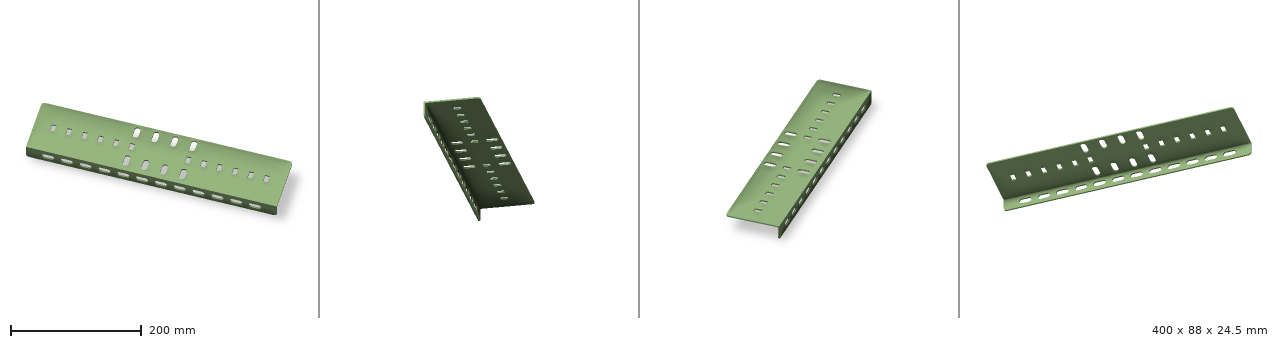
import cadquery as cq

length = 400.0
width = 88.0
height = 24.5

thickness = 2.5
inner_bend_radius = 1.0
corner_radius = 5.0

slot_length = 20.0
slot_width = 9.0
slot_pitch = 30.0
plate_slot_columns = 4
plate_slot_row_spacing = 55.0
flange_slot_count = 12
flange_slot_height = 11.5

window_width = 7.0
window_length = 12.0
windows_per_group = 6
last_window_x = 170.0
hole_row_y = 46.0

first_window_x = slot_pitch * (plate_slot_columns - 1) / 2
window_pitch = (last_window_x - first_window_x) / (windows_per_group - 1)


def centred_row(count, pitch):
    """Positions of evenly spaced items, centred on zero."""
    return [(i - (count - 1) / 2) * pitch for i in range(count)]


def bent_sheet():
    """L-shaped sheet, sharp outside and rounded inside the bend, with the flange at the -Y edge."""
    profile = (
        cq.Workplane("YZ")
        .moveTo(0, 0)
        .lineTo(0, height)
        .lineTo(width, height)
        .lineTo(width, height - thickness)
        .lineTo(thickness + inner_bend_radius, height - thickness)
        .radiusArc((thickness, height - thickness - inner_bend_radius), -inner_bend_radius)
        .lineTo(thickness, 0)
        .close()
    )
    return profile.extrude(length / 2, both=True)


def round_free_corners(sheet):
    """Round the two far corners of the plate and the two low corners of the flange."""
    sheet = sheet.faces(">Y").edges("|Z").fillet(corner_radius)
    return sheet.faces("<Z").edges("|Y").fillet(corner_radius)


def plate_slots():
    """Two rows of slots across the middle of the plate."""
    rows = [hole_row_y + y for y in centred_row(2, plate_slot_row_spacing)]
    columns = centred_row(plate_slot_columns, slot_pitch)
    centres = [(x, y) for x in columns for y in rows]
    return cq.Workplane("XY").pushPoints(centres).slot2D(slot_length, slot_width, 90).extrude(height)


def plate_windows():
    """A row of rectangular holes running out to each end of the plate."""
    distances = [first_window_x + i * window_pitch for i in range(windows_per_group)]
    centres = [(side * x, hole_row_y) for side in (-1, 1) for x in distances]
    return cq.Workplane("XY").pushPoints(centres).rect(window_width, window_length).extrude(height)


def flange_slots():
    """A row of lengthwise slots through the flange."""
    centres = [(x, flange_slot_height) for x in centred_row(flange_slot_count, slot_pitch)]
    return cq.Workplane("XZ").pushPoints(centres).slot2D(slot_length, slot_width).extrude(-thickness)


result = round_free_corners(bent_sheet())
result = result.cut(plate_slots()).cut(plate_windows()).cut(flange_slots())